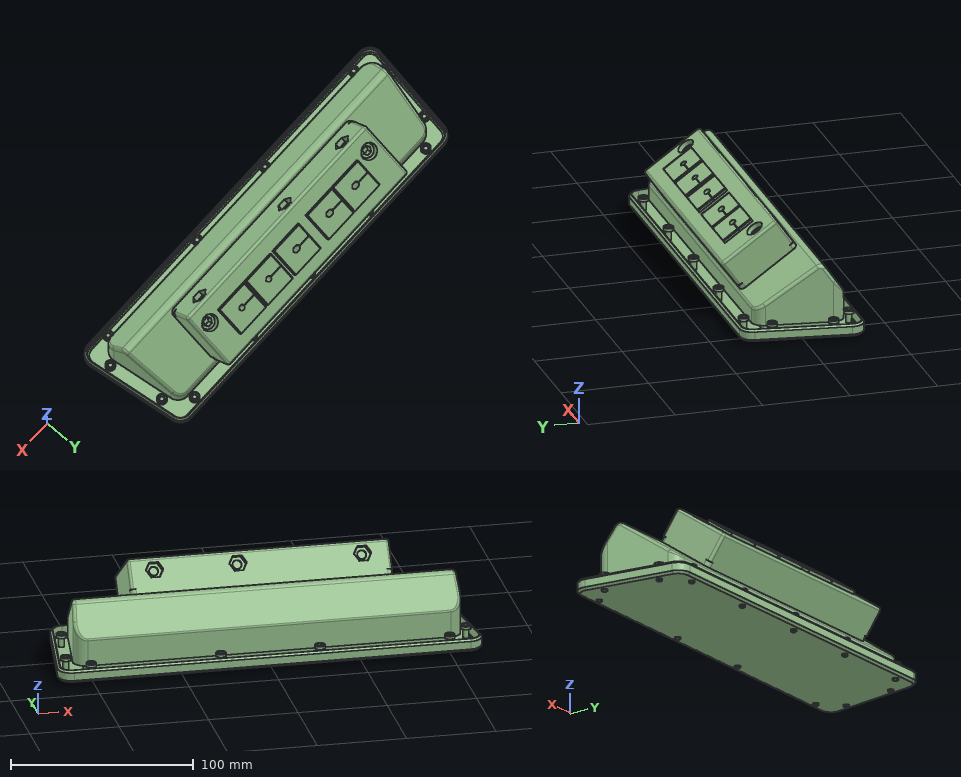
import cadquery as cq
import math

side_taper = 8.0
roof_tilt = 35.0

flange_width = 237.1
flange_depth = 68.8
flange_bottom = 1.2
flange_top = 8.3
flange_corner_radius = 7.5
top_chamfer = 1.2
bottom_chamfer = 1.5
rim_width = 1.5
panel_margin = 2.5
panel_height = 0.5
tray_depth = 6.0
tray_floor = flange_top - tray_depth

housing_width = 216.7
housing_bottom = 7.0
housing_front = -25.5
housing_back = 25.4
housing_corner_radius = 6.9
ridge_y = -11.9
ridge_z = 42.2
ridge_radius = 3.5
roof_edge_radius = 2.0
pedestal_inset = 6.0

cover_width = 146.5
cover_start = 4.7
cover_end = 43.6
cover_height = 20.6
cover_edge_radius = 1.55
plinth_height = 3.3
plinth_corner_radius = 2.8
embed = 7.0

pad_width = 20.9
pad_side_chamfer = 0.5
pad_length = 19.5
pad_height = 2.0
pad_middle = 25.0
pad_hole_middle = 24.2
pad_hole_depth = 7.0
pad_slit_width = 0.2
hole_width = 3.3
long_hole = 4.5
oval_pad_x = (-46.2, -25.1, 2.0)
round_pad_x = (24.7, 46.5)

cover_screw_x = 65.0
cover_screw_down = 17.0
cover_bore_diameter = 9.7
cover_bore_depth = 4.7
cover_screw_diameter = 8.5
cover_screw_sunk = 2.8
cover_socket_diameter = 5.5
cover_socket_depth = 4.7

nut_x = (-58.5, -11.9, 57.9)
nut_height = 13.3
nut_corner_diameter = 9.7
nut_pocket_depth = 3.3
nut_hole_diameter = 5.0
nut_hole_depth = 0.7

head_diameter = 5.7
head_top = 10.5
head_height = 2.1
shank_diameter = 3.3
head_chamfer = 0.5
socket_diameter = 3.0
socket_depth = 1.5
tip_chamfer = 0.7
row_y = 29.2
front_row_x = (-100.3, -27.7, 27.7, 100.3)
back_row_x = (-94.4, -47.5, 0.0, 47.5, 94.4)
side_screws = [(112.0, -17.0), (107.2, 16.5)]


def tapered_plate(width, front, back, radius, bottom, top):
    """Trapezoid plate with rounded corners, `width` wide over its front corners."""
    taper = math.radians(side_taper)
    front_half = width / 2 - radius + radius * math.tan(math.pi / 4 + taper / 2)
    back_half = front_half - (back - front) * math.tan(taper)
    corners = [(-front_half, front), (front_half, front), (back_half, back), (-back_half, back)]
    plate = cq.Workplane("XY").workplane(offset=bottom).polyline(corners).close().extrude(top - bottom)
    return plate.edges("|Z").fillet(radius)


def flange_plate(inset, bottom, top):
    """Plate with the flange outline, moved inward by `inset`."""
    half_depth = flange_depth / 2 - inset
    radius = flange_corner_radius - inset
    return tapered_plate(flange_width - 2 * inset, -half_depth, half_depth, radius, bottom, top)


def make_flange():
    plate = flange_plate(0, flange_bottom, flange_top)
    plate = plate.faces(">Z").edges().chamfer(top_chamfer)
    plate = plate.faces("<Z").edges().chamfer(bottom_chamfer)
    tray = flange_plate(rim_width, tray_floor, flange_top)
    panel = flange_plate(panel_margin, flange_bottom, tray_floor + panel_height)
    return plate.cut(tray).union(panel)


def make_pedestal():
    """Foot under the housing, reaching into it so that the two join."""
    return tapered_plate(
        housing_width - 2 * pedestal_inset,
        housing_front + pedestal_inset,
        housing_back - pedestal_inset,
        housing_corner_radius - pedestal_inset,
        flange_bottom,
        housing_bottom + embed,
    )


def make_housing():
    walls = tapered_plate(
        housing_width, housing_front, housing_back, housing_corner_radius, housing_bottom, ridge_z
    )
    slope = math.tan(math.radians(roof_tilt))
    reach = flange_depth
    profile = [
        (ridge_y, ridge_z),
        (ridge_y + reach, ridge_z - reach * slope),
        (ridge_y - reach * slope, ridge_z - reach),
    ]
    roof = cq.Workplane("YZ").polyline(profile).close().extrude(housing_width / 2, both=True)
    roof = roof.edges(">Z").fillet(ridge_radius)
    body = walls.intersect(roof)

    near_ridge = cq.selectors.BoxSelector(
        (-ridge_radius, ridge_y - 2 * ridge_radius, ridge_z - 2 * ridge_radius),
        (ridge_radius, ridge_y + 2 * ridge_radius, ridge_z),
    )
    upper_edges = cq.selectors.StringSyntaxSelector("not (|Z or <Z)")
    return body.edges(upper_edges - near_ridge).fillet(roof_edge_radius)


def on_roof(x, down, height):
    """Workplane parallel to the rear roof: its x is +X, its y points down the slope."""
    tilt = math.radians(roof_tilt)
    y = ridge_y + down * math.cos(tilt) + height * math.sin(tilt)
    z = ridge_z - down * math.sin(tilt) + height * math.cos(tilt)
    normal = (0, math.sin(tilt), math.cos(tilt))
    return cq.Workplane(cq.Plane(origin=(x, y, z), xDir=(1, 0, 0), normal=normal))


def on_cover_front(x, height):
    """Workplane on the front face of the cover, facing outward."""
    tilt = math.radians(roof_tilt)
    origin = on_roof(x, cover_start, height).plane.origin
    normal = (0, -math.cos(tilt), math.sin(tilt))
    return cq.Workplane(cq.Plane(origin=origin, xDir=(1, 0, 0), normal=normal))


def make_cover():
    length = cover_end - cover_start
    middle = (cover_start + cover_end) / 2

    plinth = on_roof(0, middle, -embed).rect(cover_width, length).extrude(embed + plinth_height)
    hidden = on_roof(0, cover_end, -embed).rect(cover_width, 2 * embed).extrude(embed)
    upright = cq.selectors.ParallelDirSelector(on_roof(0, 0, 0).plane.zDir)
    plinth = plinth.edges(upright).fillet(plinth_corner_radius).cut(hidden)

    box = on_roof(0, middle, plinth_height).rect(cover_width, length).extrude(cover_height - plinth_height)
    box = box.edges(upright).fillet(cover_edge_radius)
    top_face = cq.selectors.DirectionMinMaxSelector(on_roof(0, 0, 0).plane.zDir)
    return box.faces(top_face).edges().fillet(cover_edge_radius).union(plinth)


def add_pads(body):
    for x in oval_pad_x + round_pad_x:
        pad = on_roof(x, pad_middle, cover_height - pad_height)
        block = pad.rect(pad_width, pad_length).extrude(2 * pad_height)
        pad_top = cq.selectors.DirectionMinMaxSelector(pad.plane.zDir)
        side_edges = block.faces(pad_top).edges("<X or >X")
        body = body.union(side_edges.chamfer(pad_side_chamfer))

        hole = on_roof(x, pad_hole_middle, cover_height + pad_height)
        outline = hole.slot2D(long_hole, hole_width) if x in oval_pad_x else hole.circle(hole_width / 2)
        body = body.cut(outline.extrude(-pad_hole_depth))
        slit = on_roof(x - pad_width / 4, pad_hole_middle, cover_height)
        body = body.cut(slit.rect(pad_width / 2, pad_slit_width).extrude(pad_height))
    return body


def add_cover_screws(body):
    for x in (-cover_screw_x, cover_screw_x):
        bore = on_roof(x, cover_screw_down, cover_height)
        body = body.cut(bore.circle(cover_bore_diameter / 2).extrude(-cover_bore_depth))
        seat = on_roof(x, cover_screw_down, cover_height - cover_bore_depth - embed)
        rise = embed + cover_bore_depth - cover_screw_sunk
        body = body.union(seat.circle(cover_screw_diameter / 2).extrude(rise))
        socket = on_roof(x, cover_screw_down, cover_height - cover_screw_sunk)
        body = body.cut(socket.polygon(6, cover_socket_diameter).extrude(-cover_socket_depth))
    return body


def cut_nut_pockets(body):
    for x in nut_x:
        face = on_cover_front(x, nut_height)
        body = body.cut(face.polygon(6, nut_corner_diameter).extrude(-nut_pocket_depth))
        body = body.cut(face.circle(nut_hole_diameter / 2).extrude(-nut_pocket_depth - nut_hole_depth))
    return body


def add_flange_screws(body):
    places = [(x, -row_y) for x in front_row_x] + [(x, row_y) for x in back_row_x]
    places += [(side * x, y) for x, y in side_screws for side in (-1, 1)]

    top = cq.Workplane("XY").workplane(offset=head_top).pushPoints(places)
    heads = top.circle(head_diameter / 2).extrude(-head_height)
    heads = heads.faces(">Z").edges().chamfer(head_chamfer)
    sockets = top.polygon(6, socket_diameter).extrude(-socket_depth)
    shank = cq.Workplane("XY").circle(shank_diameter / 2).extrude(head_top - head_height)
    shank = shank.faces("<Z").chamfer(tip_chamfer)
    shanks = cq.Workplane("XY").pushPoints(places).eachpoint(shank.val(), combine=False)
    return body.union(heads).cut(sockets).union(shanks)


result = make_flange().union(make_pedestal()).union(make_housing()).union(make_cover())
result = add_pads(result)
result = add_cover_screws(result)
result = cut_nut_pockets(result)
result = add_flange_screws(result)